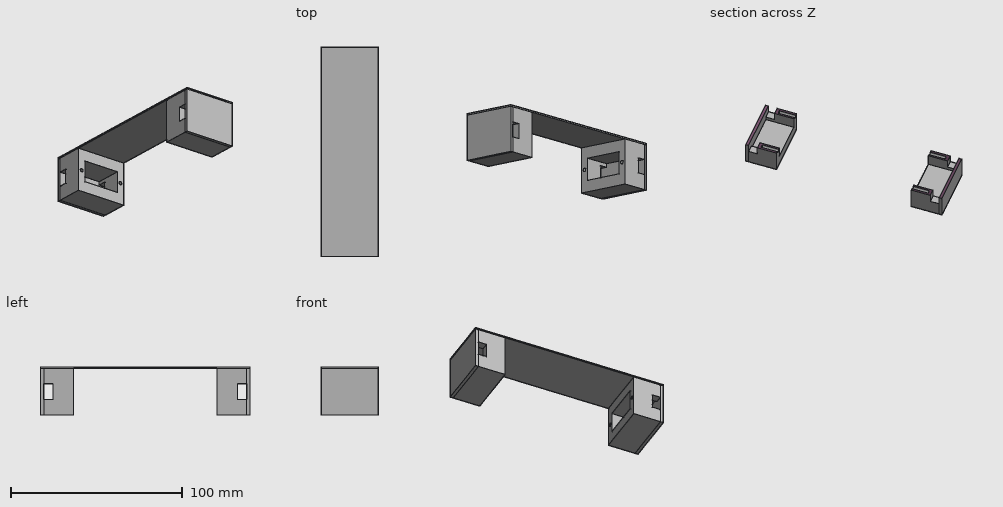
import cadquery as cq

length = 122.0
width = 33.4
height = 28.0

top_thickness = 1.0
end_thickness = 2.0

block_depth = 17.3
block_height = height - top_thickness
block_middle = block_height / 2

window_margin = 4.6
window_width = width - 2 * window_margin
window_height = 13.3

screw_diameter = 2.0
screw_edge_distance = 2.5
screw_depth = 10.0
screw_spacing = width - 2 * screw_edge_distance

slot_depth = 5.2
slot_height = 9.0

end_plate_inner_y = length / 2 - end_thickness
block_center_y = end_plate_inner_y - block_depth / 2
slot_center_y = end_plate_inner_y - slot_depth / 2


def make_top_plate():
    plate = cq.Workplane("XY").box(width, length, top_thickness, centered=(True, True, False))
    return plate.translate((0, 0, block_height))


def make_end_plate(side):
    """Plain plate closing the outer face of the block; side is -1 or +1 along Y."""
    plate = cq.Workplane("XY").box(width, end_thickness, block_height)
    return plate.translate((0, side * (length - end_thickness) / 2, block_middle))


def make_block(side):
    """Block with its opening, screw holes and slot; side is -1 or +1 along Y."""
    center_y = side * block_center_y
    block = cq.Workplane("XY").box(width, block_depth, block_height)
    window = cq.Workplane("XY").box(window_width, block_depth, window_height)
    screws = (
        cq.Workplane("XZ", origin=(0, -side * block_depth / 2, 0))
        .pushPoints([(-screw_spacing / 2, 0), (screw_spacing / 2, 0)])
        .circle(screw_diameter / 2)
        .extrude(-side * screw_depth)
    )
    block = block.cut(window).cut(screws).translate((0, center_y, block_middle))
    slot = cq.Workplane("XY").box(width, slot_depth, slot_height)
    return block.cut(slot.translate((0, side * slot_center_y, block_middle)))


top_plate = make_top_plate()
bodies = [top_plate.val()]
for end_side in (-1, 1):
    bodies.append(make_end_plate(end_side).val())
    bodies.append(make_block(end_side).val())

result = cq.Compound.makeCompound(bodies)